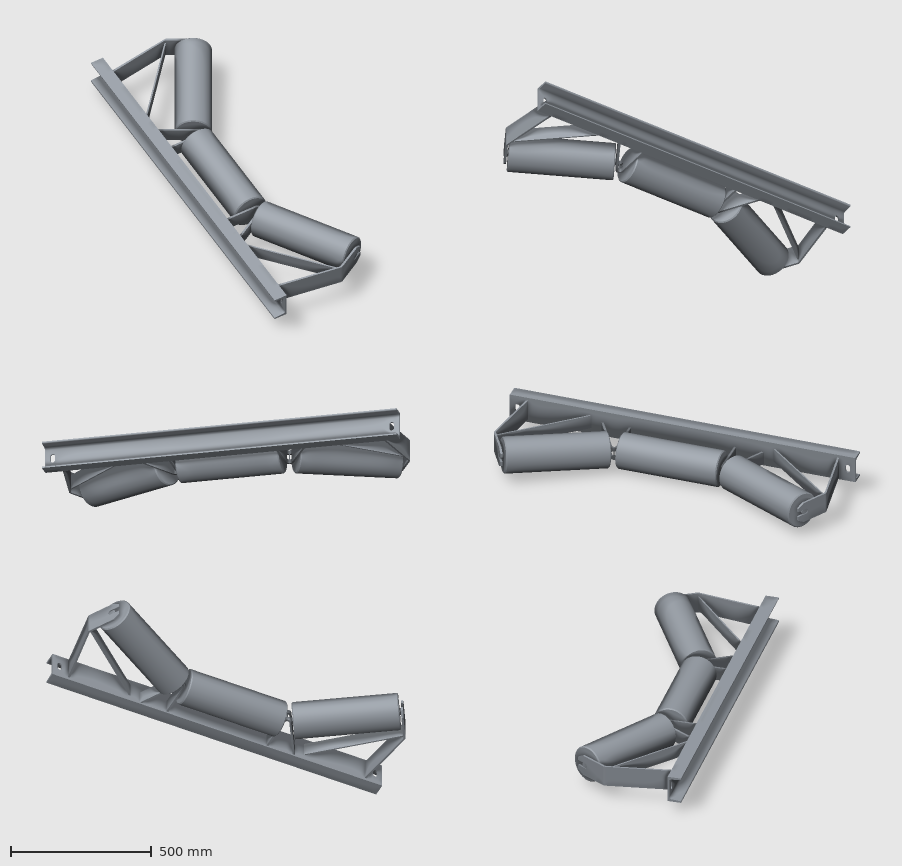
import cadquery as cq
import math

BEAM_LENGTH = 1300.0
BEAM_HEIGHT = 100.0
BEAM_DEPTH = 50.0
WEB_THICKNESS = 6.0
FLANGE_THICKNESS = 8.5
FLANGE_TAPER = 0.08
ROOT_RADIUS = 8.0
TOE_RADIUS = 4.0
BOLT_SLOT_WIDTH = 17.0
BOLT_SLOT_HEIGHT = 31.0
BOLT_SLOT_INSET = 29.0

ROLLER_DIAMETER = 133.0
ROLLER_LENGTH = 380.0
ROLLER_EDGE_CHAMFER = 4.0
SPINDLE_DIAMETER = 25.0
SPINDLE_FLAT_WIDTH = 20.0
CENTRE_ROLLER_Y = 168.0
CENTRE_ROLLER_Z = -20.0
TROUGH_ANGLE = 30.0
TILT_ANGLE = 3.0
SIDE_ROLLER_X = 399.0
SIDE_ROLLER_Y = 274.0
SIDE_ROLLER_Z = -9.0

PLATE_THICKNESS = 8.0
BEND_RADIUS = 8.0
INNER_GAP = 4.0
OUTER_GAP = 6.0
OUTER_BRACKET_WIDTH = 78.0
OUTER_TIP_LENGTH = 31.0
OUTER_BEND_LENGTH = 99.0
OUTER_FOOT_X = 585.0
TIP_CHAMFER_LENGTH = 25.0
TIP_CHAMFER_WIDTH = 14.0
INNER_BRACKET_WIDTH = 50.0
STRUT_THICKNESS = 5.0
STRUT_WIDTH = 52.0
STRUT_FOOT_X = 346.0

TROUGH = math.radians(TROUGH_ANGLE)
INNER_NEAR = ROLLER_LENGTH / 2 + INNER_GAP
INNER_FAR = INNER_NEAR + PLATE_THICKNESS
OUTER_NEAR = ROLLER_LENGTH / 2 + OUTER_GAP
OUTER_FAR = OUTER_NEAR + PLATE_THICKNESS
SPINDLE_LENGTH = 2 * INNER_FAR


def bar_along_x(outline, length):
    """Extrude an outline in the YZ plane, centred on X = 0."""
    return outline.extrude(length).translate((-length / 2, 0, 0))


def plate(points, width, mid_z=0.0):
    """Extrude an XY outline to a width in Z, centred on mid_z."""
    return cq.Workplane("XY", origin=(0, 0, mid_z - width / 2)).polyline(points).close().extrude(width)


def round_corner(solid, corner, radius):
    """Round the Z-parallel edge of a plate that passes nearest to an XY corner."""
    return solid.edges("|Z").edges(cq.NearestToPointSelector((*corner, 0))).fillet(radius)


def make_beam():
    half_height = BEAM_HEIGHT / 2
    web_front = BEAM_DEPTH - WEB_THICKNESS
    mid_y = BEAM_DEPTH / 2
    mid_z = half_height - FLANGE_THICKNESS
    toe_z = mid_z + FLANGE_TAPER * mid_y
    root_z = mid_z - FLANGE_TAPER * (web_front - mid_y)
    section = (
        cq.Workplane("YZ")
        .moveTo(BEAM_DEPTH, -half_height)
        .lineTo(BEAM_DEPTH, half_height)
        .lineTo(0, half_height)
        .lineTo(0, toe_z)
        .lineTo(web_front, root_z)
        .lineTo(web_front, -root_z)
        .lineTo(0, -toe_z)
        .lineTo(0, -half_height)
        .close()
    )
    beam = bar_along_x(section, BEAM_LENGTH)
    for side in (-1, 1):
        beam = beam.edges(cq.NearestToPointSelector((0, 0, side * toe_z))).fillet(TOE_RADIUS)
        beam = beam.edges(cq.NearestToPointSelector((0, web_front, side * root_z))).fillet(ROOT_RADIUS)

    slot_x = BEAM_LENGTH / 2 - BOLT_SLOT_INSET
    bolt_slots = (
        cq.Workplane("XZ")
        .pushPoints([(-slot_x, 0), (slot_x, 0)])
        .slot2D(BOLT_SLOT_HEIGHT, BOLT_SLOT_WIDTH, 90)
        .extrude(-BEAM_DEPTH)
    )
    return beam.cut(bolt_slots)


def spindle(length):
    """Round bar along X with two flats facing +Z and -Z."""
    flats = cq.Workplane("XY").box(length, SPINDLE_DIAMETER, SPINDLE_FLAT_WIDTH)
    return bar_along_x(cq.Workplane("YZ").circle(SPINDLE_DIAMETER / 2), length).intersect(flats)


def roller_at_origin():
    drum = bar_along_x(cq.Workplane("YZ").circle(ROLLER_DIAMETER / 2), ROLLER_LENGTH)
    return drum.faces("<X or >X").edges().chamfer(ROLLER_EDGE_CHAMFER).union(spindle(SPINDLE_LENGTH))


def slots_at_origin():
    """Cutter for the slots, open towards +Y, that hold both ends of a spindle."""
    length = SPINDLE_LENGTH + PLATE_THICKNESS
    mouth = cq.Workplane("XY").box(
        length, ROLLER_DIAMETER / 2, SPINDLE_FLAT_WIDTH, centered=(True, False, True)
    )
    return spindle(length).union(mouth)


def place_centre(solid):
    return solid.translate((0, CENTRE_ROLLER_Y, CENTRE_ROLLER_Z))


def place_right(solid):
    tilted = solid.rotate((0, 0, 0), (0, 1, 0), -TILT_ANGLE)
    raised = tilted.rotate((0, 0, 0), (0, 0, 1), TROUGH_ANGLE)
    return raised.translate((SIDE_ROLLER_X, SIDE_ROLLER_Y, SIDE_ROLLER_Z))


def side_point(along, up):
    """XY point measured from the right roller's centre, along its axis and square to it."""
    return (
        SIDE_ROLLER_X + along * math.cos(TROUGH) - up * math.sin(TROUGH),
        SIDE_ROLLER_Y + along * math.sin(TROUGH) + up * math.cos(TROUGH),
    )


def side_face_point_at_x(along, x):
    """Point at a given X on the plane square to the right roller's axis."""
    up = (SIDE_ROLLER_X + along * math.cos(TROUGH) - x) / math.sin(TROUGH)
    return side_point(along, up)


def side_face_point_at_y(along, y):
    """Point at a given Y on the plane square to the right roller's axis."""
    up = (y - SIDE_ROLLER_Y - along * math.sin(TROUGH)) / math.cos(TROUGH)
    return side_point(along, up)


BEND_INSIDE = side_point(OUTER_NEAR, -OUTER_BEND_LENGTH)
BEND_OUTSIDE = side_point(OUTER_FAR, -OUTER_BEND_LENGTH)


def tip_chamfer_wedge(end):
    """Cutter for one corner of the outer bracket's tip, at its lower (-1) or upper (1) edge."""
    edge_z = end * OUTER_BRACKET_WIDTH / 2
    corner = [
        (OUTER_TIP_LENGTH, edge_z),
        (OUTER_TIP_LENGTH - TIP_CHAMFER_LENGTH, edge_z),
        (OUTER_TIP_LENGTH, edge_z - end * TIP_CHAMFER_WIDTH),
    ]
    wedge = cq.Workplane("YZ").polyline(corner).close().extrude(ROLLER_LENGTH)
    turned = wedge.rotate((0, 0, 0), (0, 0, 1), TROUGH_ANGLE)
    return turned.translate((SIDE_ROLLER_X, SIDE_ROLLER_Y, 0))


def make_outer_bracket():
    foot_out = (OUTER_FOOT_X + PLATE_THICKNESS / 2, BEAM_DEPTH)
    foot_in = (OUTER_FOOT_X - PLATE_THICKNESS / 2, BEAM_DEPTH)
    tip_in = side_point(OUTER_NEAR, OUTER_TIP_LENGTH)
    tip_out = side_point(OUTER_FAR, OUTER_TIP_LENGTH)
    bracket = plate([tip_in, tip_out, BEND_OUTSIDE, foot_out, foot_in, BEND_INSIDE], OUTER_BRACKET_WIDTH)
    bracket = round_corner(bracket, BEND_INSIDE, BEND_RADIUS)
    bracket = round_corner(bracket, BEND_OUTSIDE, BEND_RADIUS + PLATE_THICKNESS)

    for end in (-1, 1):
        bracket = bracket.cut(tip_chamfer_wedge(end))
    return bracket.cut(place_right(slots_at_origin()))


def make_inner_bracket():
    """Bar folded into a narrow inverted V between the centre roller and the right roller."""
    apex_in = side_face_point_at_x(-INNER_FAR, INNER_FAR)
    apex_out = side_face_point_at_x(-INNER_NEAR, INNER_NEAR)
    outline = [
        (INNER_NEAR, BEAM_DEPTH),
        apex_out,
        side_face_point_at_y(-INNER_NEAR, BEAM_DEPTH),
        side_face_point_at_y(-INNER_FAR, BEAM_DEPTH),
        apex_in,
        (INNER_FAR, BEAM_DEPTH),
    ]
    bracket = plate(outline, INNER_BRACKET_WIDTH, CENTRE_ROLLER_Z)
    bracket = round_corner(bracket, apex_in, BEND_RADIUS)
    bracket = round_corner(bracket, apex_out, BEND_RADIUS + PLATE_THICKNESS)
    return bracket.cut(place_right(slots_at_origin())).cut(place_centre(slots_at_origin()))


def make_strut(outer_bracket):
    """Flat bar from the web up to the inside of the outer bracket's bend."""
    top_x, top_y = BEND_INSIDE
    slope = math.atan2(top_y - BEAM_DEPTH, top_x - STRUT_FOOT_X)
    half_foot = STRUT_THICKNESS / 2 / math.sin(slope)
    half_top_x = STRUT_THICKNESS / 2 * math.sin(slope)
    half_top_y = STRUT_THICKNESS / 2 * math.cos(slope)
    bar = plate(
        [
            (STRUT_FOOT_X - half_foot, BEAM_DEPTH),
            (STRUT_FOOT_X + half_foot, BEAM_DEPTH),
            (top_x + half_top_x, top_y - half_top_y),
            (top_x - half_top_x, top_y + half_top_y),
        ],
        STRUT_WIDTH,
    )
    return bar.cut(outer_bracket)


beam = make_beam()
centre_roller = place_centre(roller_at_origin())
right_roller = place_right(roller_at_origin())
outer_bracket = make_outer_bracket()
inner_bracket = make_inner_bracket()
strut = make_strut(outer_bracket)

bodies = [beam.val(), centre_roller.val()]
for right_body in (right_roller, outer_bracket, inner_bracket, strut):
    bodies.append(right_body.val())
    bodies.append(right_body.mirror("YZ").val())

result = cq.Compound.makeCompound(bodies)